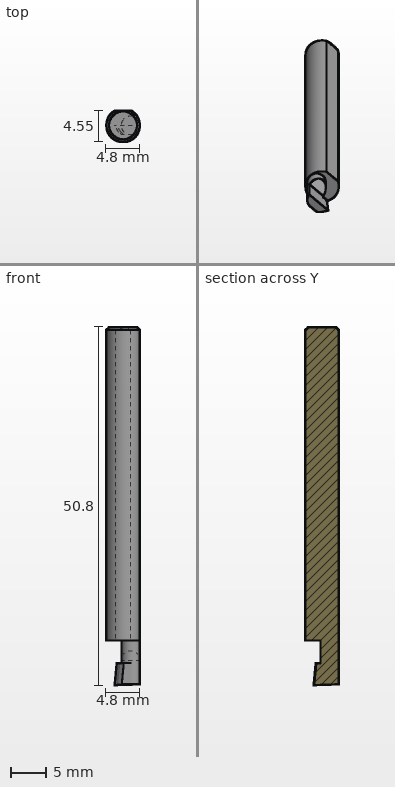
import cadquery as cq
import math

total_length = 50.8
shank_radius = 2.4
flat_offset = 2.15
end_chamfer = 0.4

neck_length = 6.35
neck_radius = 1.3
neck_x = shank_radius - neck_radius

head_height = 3.15
head_lean = 0.3
tip_x = -1.2
relief_x = -0.65
relief_y = -0.9
heel_x = -0.2
rake_runout_height = 3.55
end_relief_x_angle = 2.0
end_relief_y_angle = 5.0


def make_shank():
    """Round bar with a chamfered top end and a flat along its +Y side."""
    shank = (
        cq.Workplane("XY", origin=(0, 0, neck_length))
        .circle(shank_radius)
        .extrude(total_length - neck_length)
        .faces(">Z")
        .chamfer(end_chamfer)
    )
    flat_limit = cq.Workplane("XY").box(
        2 * shank_radius, shank_radius + flat_offset, total_length, centered=(True, False, False)
    )
    return shank.intersect(flat_limit.translate((0, -shank_radius, 0)))


def make_neck():
    """Pin cut back to y = 0 at its end, with a 45 degree runout."""
    neck = cq.Workplane("XY").center(neck_x, 0).circle(neck_radius).extrude(neck_length)
    cut_depth = 2 * neck_radius
    rake_cut = (
        cq.Workplane("YZ", origin=(-shank_radius, 0, 0))
        .polyline([
            (0, 0),
            (cut_depth, 0),
            (cut_depth, rake_runout_height + cut_depth),
            (0, rake_runout_height),
        ])
        .close()
        .extrude(2 * shank_radius)
    )
    return neck.cut(rake_cut)


def head_section(z):
    """Head outline at height z; its cutting side leans toward +X going up."""
    lean = head_lean * z / head_height
    return cq.Wire.makePolygon(
        [
            cq.Vector(tip_x + lean, 0, z),
            cq.Vector(relief_x + lean, relief_y, z),
            cq.Vector(heel_x + lean, -neck_radius, z),
            cq.Vector(neck_x, -neck_radius, z),
            cq.Vector(neck_x, 0, z),
        ],
        close=True,
    )


def make_head():
    """Ruled prism between the bottom and top head outlines."""
    return cq.Workplane(cq.Solid.makeLoft([head_section(0), head_section(head_height)], True))


def make_end_relief():
    """Block under the end face, which rises from the tip toward +X and -Y."""
    x_slope = math.tan(math.radians(end_relief_x_angle))
    y_slope = math.tan(math.radians(end_relief_y_angle))
    end_plane = cq.Plane(
        origin=(tip_x, 0, 0), xDir=(1, 0, x_slope), normal=(-x_slope, y_slope, 1)
    )
    block_size = 4 * shank_radius
    return cq.Workplane(end_plane).rect(block_size, block_size).extrude(-shank_radius)


tool_end = make_neck().union(make_head()).cut(make_end_relief())
result = make_shank().union(tool_end)